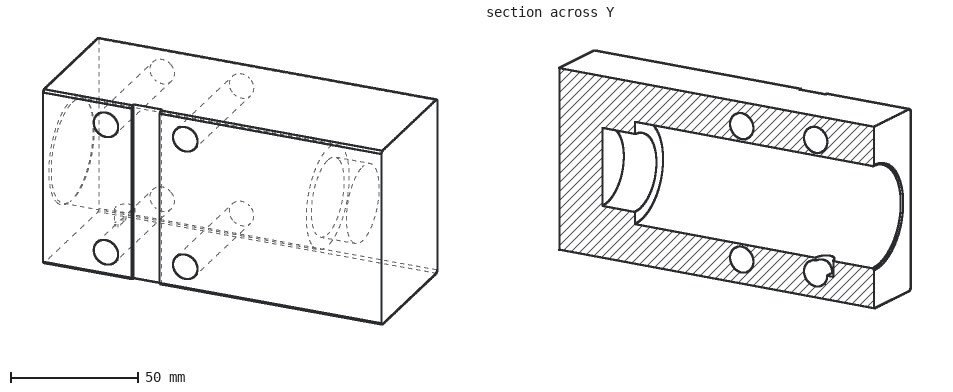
import cadquery as cq

length = 145.0
width = 55.0
height = 75.0
edge_chamfer = 1.0

slot_center_x = 44.0
slot_width = 12.0
slot_depth = 2.0

mount_hole_diameter = 10.5
mount_pitch_x = 34.0
mount_pitch_z = 55.0

bore_diameter = 42.0
bore_depth = 110.0
mouth_chamfer = 0.7
inner_bore_diameter = 32.0
inner_bore_depth = 125.0

port_diameter = 8.0
port_x = 23.0


def make_block():
    block = cq.Workplane("XY").box(length, width, height, centered=(False, True, True))
    return block.edges("|X").chamfer(edge_chamfer)


def make_slot():
    cutter = cq.Workplane("XY").box(slot_width, 2 * slot_depth, height)
    return cutter.translate((slot_center_x, -width / 2, 0))


def make_mount_holes():
    holes = cq.Workplane("XZ", origin=(slot_center_x, width / 2, 0))
    holes = holes.rarray(mount_pitch_x, mount_pitch_z, 2, 2)
    return holes.circle(mount_hole_diameter / 2).extrude(width)


def make_bore():
    bore_radius = bore_diameter / 2
    inner_radius = inner_bore_diameter / 2
    half_section = [
        (0, 0),
        (0, bore_radius + mouth_chamfer),
        (mouth_chamfer, bore_radius),
        (bore_depth, bore_radius),
        (bore_depth, inner_radius),
        (inner_bore_depth, inner_radius),
        (inner_bore_depth, 0),
    ]
    profile = cq.Workplane("XY").polyline(half_section).close()
    return profile.revolve(360, (0, 0, 0), (1, 0, 0))


def make_port():
    port_height = mount_pitch_z / 2
    port = cq.Workplane("XY", origin=(port_x, 0, -port_height))
    return port.circle(port_diameter / 2).extrude(port_height)


result = (
    make_block()
    .cut(make_slot())
    .cut(make_mount_holes())
    .cut(make_bore())
    .cut(make_port())
)